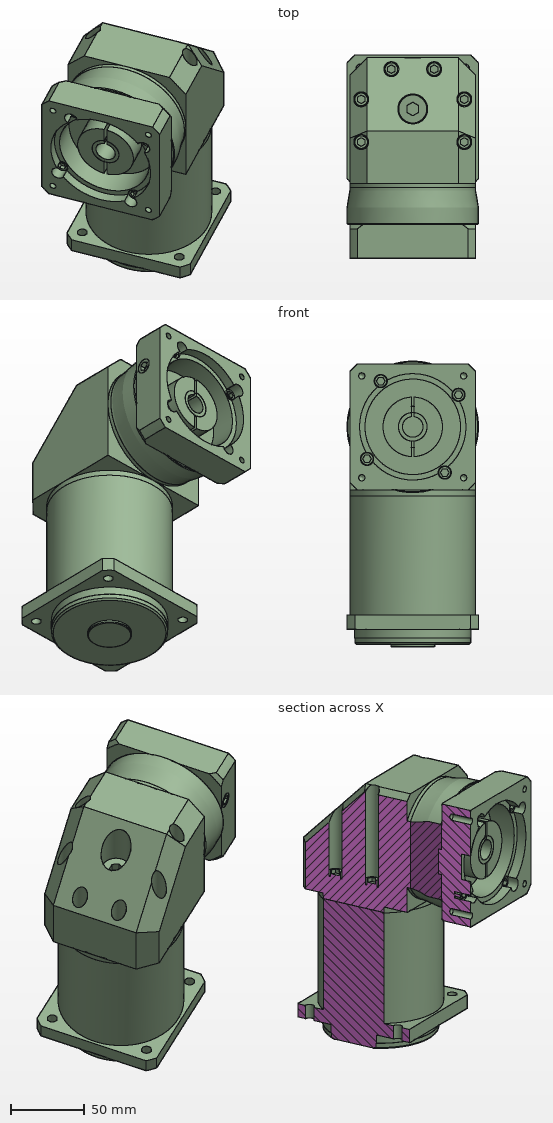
import cadquery as cq
import math


BODY_WIDTH = 86.0
FLANGE_WIDTH = 90.0
OVERALL_HEIGHT = 195.5
OVERALL_DEPTH = 139.0
BODY_HALF = BODY_WIDTH / 2
FLANGE_HALF = FLANGE_WIDTH / 2
INPUT_AXIS_Z = OVERALL_HEIGHT - FLANGE_HALF

ELBOW_BOTTOM_Z = INPUT_AXIS_Z - BODY_HALF
ELBOW_TOP_Z = INPUT_AXIS_Z + BODY_HALF
ELBOW_SLOPE_SIZE = 50.0
ELBOW_EDGE_CHAMFER = 12.0
OUTPUT_SPIGOT_HEIGHT = 4.1
INPUT_SPIGOT_LENGTH = 2.7

ELBOW_SCREW_CIRCLE_RADIUS = 38.1
ELBOW_SCREW_ANGLES = [-22.5, 22.5, 67.5, 112.5, 157.5, 202.5]
ELBOW_SCREW_HOLE_RADIUS = 5.0
ELBOW_SCREW_HEAD_RADIUS = 4.3
ELBOW_SCREW_HEAD_HEIGHT = 5.0
ELBOW_SCREW_SEAT_Z = 121.2
ELBOW_SCREW_SOCKET_WIDTH = 5.0
SCREW_SOCKET_DEPTH = 3.0

PLUG_Y = 8.0
PLUG_HOLE_RADIUS = 10.2
PLUG_RADIUS = 9.5
PLUG_HEIGHT = 9.8
PLUG_SEAT_Z = 150.5
PLUG_SOCKET_WIDTH = 8.0
PLUG_SOCKET_DEPTH = 5.9

FLANGE_TOP_Z = 22.0
FLANGE_BOTTOM_Z = 12.1
FLANGE_CORNER_RADIUS = 59.8
FLANGE_HOLE_OFFSET = 35.4
FLANGE_HOLE_RADIUS = 3.3
PILOT_RADIUS = 39.9
PILOT_STEP_RADIUS = 39.7
PILOT_STEP_Z = 6.3
PILOT_BOTTOM_Z = 2.0
PILOT_CHAMFER = 1.2
OUTPUT_RADIUS = 15.0
OUTPUT_CHAMFER = 0.5

HOUSING_BACK_Y = -BODY_HALF - INPUT_SPIGOT_LENGTH
HOUSING_FLARE_START_Y = -47.7
HOUSING_FLARE_END_Y = -59.6
HOUSING_FRONT_Y = -70.8
HOUSING_EDGE_CHAMFER = 0.5
HOUSING_RECESS_DEPTH = 2.3
HOUSING_RECESS_RADIUS = 36.4
HOUSING_FLOOR_Y = HOUSING_FRONT_Y + HOUSING_RECESS_DEPTH

PLATE_FRONT_Y = FLANGE_HALF - OVERALL_DEPTH
PLATE_THICKNESS = HOUSING_FRONT_Y - PLATE_FRONT_Y
PLATE_CORNER_RADIUS = 57.3
PLATE_BACK_CORNER_RADIUS = 54.7
PLATE_BACK_TAPER = 3.1
MOTOR_PILOT_RADIUS = 36.4
MOTOR_PILOT_DEPTH = 7.0
PLATE_BORE_RADIUS = 32.6
MOTOR_HOLE_OFFSET = 34.8
MOTOR_HOLE_RADIUS = 2.2
MOTOR_HOLE_DEPTH = 15.6
DRILL_TIP_ANGLE = 118.0
PLATE_SCREW_CIRCLE_RADIUS = 38.1
PLATE_SCREW_FIRST_ANGLE = 35.0
PLATE_SCREW_COUNT = 4
PLATE_SCREW_HOLE_RADIUS = 4.5
PLATE_SCREW_SEAT_DEPTH = 13.0
PLATE_SCREW_HEAD_RADIUS = 4.1
PLATE_SCREW_HEAD_HEIGHT = 5.0
PLATE_SCREW_SOCKET_WIDTH = 5.0

ACCESS_PLUG_Y = -78.0
ACCESS_PLUG_RISE = 13.9
ACCESS_PLUG_RADIUS = 5.3
ACCESS_PLUG_SETBACK = 0.2
ACCESS_PLUG_SOCKET_WIDTH = 6.0
ACCESS_PLUG_SOCKET_DEPTH = 4.0

COLLAR_FRONT_DEPTH = 9.4
COLLAR_RADIUS = 20.3
COLLAR_HUB_RADIUS = 14.0
COLLAR_HUB_LENGTH = 7.8
SHAFT_RADIUS = 9.8
SHAFT_BORE_RADIUS = 7.0
SHAFT_RECESS = 0.2
SLIT_WIDTH = 2.0

COLLAR_FRONT_Y = PLATE_FRONT_Y + COLLAR_FRONT_DEPTH
COLLAR_LENGTH = HOUSING_FLOOR_Y - COLLAR_FRONT_Y


def input_plane(y):
    """Workplane across the input axis at y; it extrudes toward -Y."""
    return cq.Workplane("XZ", origin=(0, y, INPUT_AXIS_Z))


def hex_diameter(width_across_flats):
    return width_across_flats / math.cos(math.pi / 6)


def polar_points(radius, angles):
    return [
        (radius * math.cos(math.radians(a)), radius * math.sin(math.radians(a)))
        for a in angles
    ]


def square_points(offset):
    return [(x, y) for x in (-offset, offset) for y in (-offset, offset)]


def add_sunk_screws(
    body, points, seat_z, hole_radius, head_radius, head_height, socket_width, socket_depth
):
    """Vertical holes, open at the top, each with a hex socket head standing on its floor."""
    seats = cq.Workplane("XY", origin=(0, 0, seat_z)).pushPoints(points)
    holes = seats.circle(hole_radius).extrude(OVERALL_HEIGHT - seat_z)
    heads = seats.circle(head_radius).extrude(head_height)
    socket = (
        cq.Workplane("XY")
        .polygon(6, hex_diameter(socket_width))
        .extrude(socket_depth)
        .rotate((0, 0, 0), (0, 0, 1), 90)
    )
    body = body.cut(holes).union(heads)
    for x, y in points:
        body = body.cut(socket.translate((x, y, seat_z + head_height - socket_depth)))
    return body


def make_elbow():
    profile = [
        (-BODY_HALF, ELBOW_BOTTOM_Z),
        (BODY_HALF, ELBOW_BOTTOM_Z),
        (BODY_HALF, ELBOW_TOP_Z - ELBOW_SLOPE_SIZE),
        (BODY_HALF - ELBOW_SLOPE_SIZE, ELBOW_TOP_Z),
        (-BODY_HALF, ELBOW_TOP_Z),
    ]
    block = cq.Workplane("YZ").polyline(profile).close().extrude(BODY_HALF, both=True)
    outer_edges = block.faces("<X or >X").edges("not(<Y or <Z)")
    elbow = block.newObject(outer_edges.vals()).chamfer(ELBOW_EDGE_CHAMFER)

    output_spigot = (
        cq.Workplane("XY", origin=(0, 0, ELBOW_BOTTOM_Z)).circle(BODY_HALF).extrude(-OUTPUT_SPIGOT_HEIGHT)
    )
    input_spigot = input_plane(-BODY_HALF).circle(BODY_HALF).extrude(INPUT_SPIGOT_LENGTH)
    elbow = elbow.union(output_spigot).union(input_spigot)

    elbow = add_sunk_screws(
        elbow, polar_points(ELBOW_SCREW_CIRCLE_RADIUS, ELBOW_SCREW_ANGLES), ELBOW_SCREW_SEAT_Z,
        ELBOW_SCREW_HOLE_RADIUS, ELBOW_SCREW_HEAD_RADIUS, ELBOW_SCREW_HEAD_HEIGHT,
        ELBOW_SCREW_SOCKET_WIDTH, SCREW_SOCKET_DEPTH,
    )
    return add_sunk_screws(
        elbow, [(0, PLUG_Y)], PLUG_SEAT_Z, PLUG_HOLE_RADIUS, PLUG_RADIUS, PLUG_HEIGHT,
        PLUG_SOCKET_WIDTH, PLUG_SOCKET_DEPTH,
    )


def make_gearbox():
    tube_length = ELBOW_BOTTOM_Z - OUTPUT_SPIGOT_HEIGHT - FLANGE_TOP_Z
    tube = cq.Workplane("XY", origin=(0, 0, FLANGE_TOP_Z)).circle(BODY_HALF).extrude(tube_length)

    flange_plane = cq.Workplane("XY", origin=(0, 0, FLANGE_BOTTOM_Z))
    flange_thickness = FLANGE_TOP_Z - FLANGE_BOTTOM_Z
    turned_blank = flange_plane.circle(FLANGE_CORNER_RADIUS).extrude(flange_thickness)
    flange = (
        flange_plane.rect(FLANGE_WIDTH, FLANGE_WIDTH)
        .extrude(flange_thickness)
        .intersect(turned_blank)
        .cut(
            flange_plane.pushPoints(square_points(FLANGE_HOLE_OFFSET))
            .circle(FLANGE_HOLE_RADIUS)
            .extrude(flange_thickness)
        )
    )

    pilot = flange_plane.circle(PILOT_RADIUS).extrude(PILOT_STEP_Z - FLANGE_BOTTOM_Z)
    pilot_step = (
        cq.Workplane("XY", origin=(0, 0, PILOT_STEP_Z))
        .circle(PILOT_STEP_RADIUS)
        .extrude(PILOT_BOTTOM_Z - PILOT_STEP_Z)
        .faces("<Z")
        .chamfer(PILOT_CHAMFER)
    )
    output_boss = (
        cq.Workplane("XY").circle(OUTPUT_RADIUS).extrude(PILOT_BOTTOM_Z).faces("<Z").chamfer(OUTPUT_CHAMFER)
    )
    return tube.union(flange).union(pilot).union(pilot_step).union(output_boss)


def make_input_housing():
    profile = [
        (0, -HOUSING_BACK_Y),
        (BODY_HALF, -HOUSING_BACK_Y),
        (BODY_HALF, -HOUSING_FLARE_START_Y),
        (FLANGE_HALF, -HOUSING_FLARE_END_Y),
        (FLANGE_HALF, -HOUSING_FRONT_Y - HOUSING_EDGE_CHAMFER),
        (FLANGE_HALF - HOUSING_EDGE_CHAMFER, -HOUSING_FRONT_Y),
        (0, -HOUSING_FRONT_Y),
    ]
    housing = (
        cq.Workplane("XY")
        .polyline(profile)
        .close()
        .revolve(360, (0, 0, 0), (0, 1, 0))
        .rotate((0, 0, 0), (0, 0, 1), 180)
        .translate((0, 0, INPUT_AXIS_Z))
    )
    floor = input_plane(HOUSING_FLOOR_Y)
    spigot_recess = floor.circle(HOUSING_RECESS_RADIUS).extrude(HOUSING_RECESS_DEPTH)
    hub_seat = floor.circle(COLLAR_HUB_RADIUS).extrude(-COLLAR_HUB_LENGTH)
    return housing.cut(spigot_recess).cut(hub_seat)


def make_motor_plate():
    front = input_plane(PLATE_FRONT_Y)
    back = input_plane(HOUSING_FRONT_Y)
    turned_blank = (
        back.circle(PLATE_BACK_CORNER_RADIUS)
        .workplane(offset=PLATE_BACK_TAPER)
        .circle(PLATE_CORNER_RADIUS)
        .loft(ruled=True)
        .union(front.circle(PLATE_CORNER_RADIUS).extrude(PLATE_BACK_TAPER - PLATE_THICKNESS))
    )
    plate = back.rect(BODY_WIDTH, BODY_WIDTH).extrude(PLATE_THICKNESS).intersect(turned_blank)
    plate = plate.cut(front.circle(MOTOR_PILOT_RADIUS).extrude(-MOTOR_PILOT_DEPTH))
    spigot = back.circle(HOUSING_RECESS_RADIUS).extrude(-HOUSING_RECESS_DEPTH)
    bore = front.circle(PLATE_BORE_RADIUS).extrude(-PLATE_THICKNESS - HOUSING_RECESS_DEPTH)
    plate = plate.union(spigot).cut(bore)

    tip_depth = MOTOR_HOLE_RADIUS / math.tan(math.radians(DRILL_TIP_ANGLE / 2))
    drill = (
        cq.Workplane("XY")
        .polyline([
            (0, 0),
            (MOTOR_HOLE_RADIUS, 0),
            (MOTOR_HOLE_RADIUS, MOTOR_HOLE_DEPTH),
            (0, MOTOR_HOLE_DEPTH + tip_depth),
        ])
        .close()
        .revolve(360, (0, 0, 0), (0, 1, 0))
    )
    for x, rise in square_points(MOTOR_HOLE_OFFSET):
        plate = plate.cut(drill.translate((x, PLATE_FRONT_Y, INPUT_AXIS_Z + rise)))

    screw_step = 360 / PLATE_SCREW_COUNT
    screw_angles = [PLATE_SCREW_FIRST_ANGLE + i * screw_step for i in range(PLATE_SCREW_COUNT)]
    screw_points = polar_points(PLATE_SCREW_CIRCLE_RADIUS, screw_angles)
    screw_seats = input_plane(PLATE_FRONT_Y + PLATE_SCREW_SEAT_DEPTH).pushPoints(screw_points)
    counterbores = screw_seats.circle(PLATE_SCREW_HOLE_RADIUS).extrude(PLATE_SCREW_SEAT_DEPTH)
    heads = screw_seats.circle(PLATE_SCREW_HEAD_RADIUS).extrude(PLATE_SCREW_HEAD_HEIGHT)
    sockets = (
        input_plane(PLATE_FRONT_Y + PLATE_SCREW_SEAT_DEPTH - PLATE_SCREW_HEAD_HEIGHT)
        .pushPoints(screw_points)
        .polygon(6, hex_diameter(PLATE_SCREW_SOCKET_WIDTH))
        .extrude(-SCREW_SOCKET_DEPTH)
    )
    plate = plate.cut(counterbores).union(heads).cut(sockets)

    plug_centre = (-BODY_HALF, ACCESS_PLUG_Y, INPUT_AXIS_Z + ACCESS_PLUG_RISE)
    side = cq.Workplane(cq.Plane(origin=plug_centre, xDir=(0, 0, 1), normal=(1, 0, 0)))
    plug_recess = side.circle(ACCESS_PLUG_RADIUS).extrude(ACCESS_PLUG_SETBACK)
    plug_socket = side.polygon(6, hex_diameter(ACCESS_PLUG_SOCKET_WIDTH)).extrude(ACCESS_PLUG_SOCKET_DEPTH)
    return plate.cut(plug_recess).cut(plug_socket)


def make_collar():
    """Split ring whose two halves are joined by a narrower hub at the back."""
    front = input_plane(COLLAR_FRONT_Y)
    ring = front.circle(COLLAR_RADIUS).extrude(-COLLAR_LENGTH)
    slits = front.rect(SLIT_WIDTH, 2 * COLLAR_RADIUS).extrude(-COLLAR_LENGTH)
    hub = input_plane(HOUSING_FLOOR_Y).circle(COLLAR_HUB_RADIUS).extrude(-COLLAR_HUB_LENGTH)
    shaft_hole = front.circle(SHAFT_RADIUS).extrude(-COLLAR_LENGTH - COLLAR_HUB_LENGTH)
    return ring.cut(slits).union(hub).cut(shaft_hole)


def make_input_shaft():
    """Hollow sleeve with a blind bore; its slit is as deep as the bore."""
    front = input_plane(COLLAR_FRONT_Y + SHAFT_RECESS)
    bore_depth = COLLAR_LENGTH - SHAFT_RECESS
    sleeve = front.circle(SHAFT_RADIUS).extrude(-bore_depth - COLLAR_HUB_LENGTH)
    bore = front.circle(SHAFT_BORE_RADIUS).extrude(-bore_depth)
    upper_slit = front.center(0, SHAFT_RADIUS / 2).rect(SLIT_WIDTH, SHAFT_RADIUS).extrude(-bore_depth)
    return sleeve.cut(bore).cut(upper_slit)


elbow = make_elbow()
gearbox = make_gearbox()
input_housing = make_input_housing()
motor_plate = make_motor_plate()
collar = make_collar()
input_shaft = make_input_shaft()

result = cq.Compound.makeCompound([
    elbow.val(),
    gearbox.val(),
    input_housing.val(),
    motor_plate.val(),
    collar.val(),
    input_shaft.val(),
])